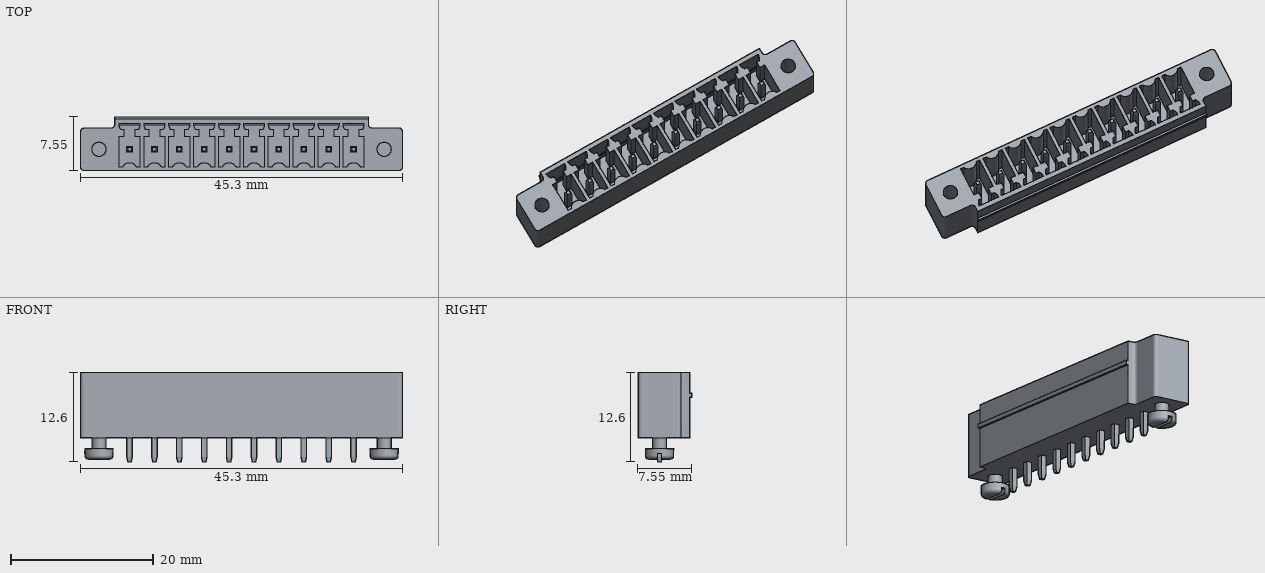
import cadquery as cq

body_length = 45.3
body_height = 9.2
flange_depth = 6.0
center_length = 35.7
center_depth = 7.25
corner_radius = 0.5

rib_projection = 0.3
rib_bottom = 5.7
rib_height = 0.6

contact_count = 10
pitch = 3.5
contact_y = 3.0
contact_xs = [(i - (contact_count - 1) / 2) * pitch for i in range(contact_count)]

cavity_half_width = 1.5
cavity_front = 0.5
cavity_floor = 1.5
shoulder_y = 4.8
neck_half_width = 0.75
latch_front = 5.75
latch_front_half_width = 1.2
latch_bulge_x = 1.4
latch_bulge_y = 6.08
latch_side_y = 6.5
cavity_back = 6.6
back_ledge_depth = 0.15
back_ledge_top = 3.0
key_radius = 1.1

pin_width = 0.8
pin_tip_width = 0.5
pin_taper = 0.7
pin_bottom = -3.4
pin_top = 7.8

screw_spacing = 40.1
screw_xs = [-screw_spacing / 2, screw_spacing / 2]
screw_y = contact_y
screw_diameter = 2.0
head_diameter = 4.0
head_height = 1.5
head_bottom = -3.0
head_fillet = 0.5
driver_slot_width = 0.6
driver_slot_depth = 0.8
hole_depth = 8.0


def make_housing():
    """Flanged housing with rounded outer and inner corners and a back rib."""
    flange = (
        cq.Workplane("XY")
        .rect(body_length, flange_depth)
        .extrude(body_height)
        .edges("|Z")
        .fillet(corner_radius)
        .translate((0, flange_depth / 2, 0))
    )
    center = (
        cq.Workplane("XY")
        .rect(center_length, center_depth)
        .extrude(body_height)
        .translate((0, center_depth / 2, 0))
    )
    inner_corners = cq.selectors.BoxSelector(
        (-center_length, flange_depth - corner_radius / 2, 0),
        (center_length, flange_depth + corner_radius / 2, body_height),
    )
    housing = flange.union(center).edges("|Z").edges(inner_corners).fillet(corner_radius)
    rib_depth = center_depth + rib_projection - flange_depth
    rib = cq.Workplane("XY").box(center_length, rib_depth, rib_height, centered=(True, False, False))
    return housing.union(rib.translate((0, flange_depth, rib_bottom)))


def make_cavity():
    """Cutter for one plug cavity, centred on X = 0 and open at the top."""
    height = body_height - cavity_floor
    cavity = (
        cq.Workplane("XY", origin=(0, 0, cavity_floor))
        .moveTo(-cavity_half_width, cavity_front)
        .lineTo(cavity_half_width, cavity_front)
        .lineTo(cavity_half_width, shoulder_y)
        .lineTo(neck_half_width, shoulder_y)
        .lineTo(neck_half_width, latch_front)
        .lineTo(latch_front_half_width, latch_front)
        .threePointArc((latch_bulge_x, latch_bulge_y), (cavity_half_width, latch_side_y))
        .lineTo(cavity_half_width, cavity_back)
        .lineTo(-cavity_half_width, cavity_back)
        .lineTo(-cavity_half_width, latch_side_y)
        .threePointArc((-latch_bulge_x, latch_bulge_y), (-latch_front_half_width, latch_front))
        .lineTo(-neck_half_width, latch_front)
        .lineTo(-neck_half_width, shoulder_y)
        .lineTo(-cavity_half_width, shoulder_y)
        .close()
        .extrude(height)
    )
    key = cq.Workplane("XY", origin=(0, 0, cavity_floor)).circle(key_radius).extrude(height)
    ledge = cq.Workplane("XY").box(
        2 * cavity_half_width,
        back_ledge_depth,
        back_ledge_top - cavity_floor,
        centered=(True, False, False),
    )
    ledge = ledge.translate((0, cavity_back - back_ledge_depth, cavity_floor))
    return cavity.cut(key).cut(ledge)


def make_pin_taper(start_z, length):
    """Square taper from the full pin width at start_z; a negative length points down."""
    return (
        cq.Workplane("XY", origin=(0, contact_y, start_z))
        .rect(pin_width, pin_width)
        .workplane(offset=length)
        .rect(pin_tip_width, pin_tip_width)
        .loft()
    )


def make_pin():
    """Contact pin on X = 0, tapered at both ends."""
    shank_bottom = pin_bottom + pin_taper
    shank_top = pin_top - pin_taper
    shank = (
        cq.Workplane("XY", origin=(0, contact_y, shank_bottom))
        .rect(pin_width, pin_width)
        .extrude(shank_top - shank_bottom)
    )
    lower_end = make_pin_taper(shank_bottom, -pin_taper)
    upper_end = make_pin_taper(shank_top, pin_taper)
    return shank.union(lower_end).union(upper_end)


def make_screw():
    """Round shank and slotted head hanging below the flange, on X = 0."""
    head = (
        cq.Workplane("XY", origin=(0, screw_y, head_bottom))
        .circle(head_diameter / 2)
        .extrude(head_height)
        .faces("<Z")
        .edges()
        .fillet(head_fillet)
    )
    shank = (
        cq.Workplane("XY", origin=(0, screw_y, head_bottom + head_height))
        .circle(screw_diameter / 2)
        .extrude(-head_bottom - head_height)
    )
    driver_slot = (
        cq.Workplane("XY", origin=(0, screw_y, head_bottom))
        .rect(head_diameter, driver_slot_width)
        .extrude(driver_slot_depth)
    )
    return head.cut(driver_slot).union(shank)


def make_screw_hole():
    """Cutter for the blind hole in the top of a flange, on X = 0."""
    return (
        cq.Workplane("XY", origin=(0, screw_y, body_height - hole_depth))
        .circle(screw_diameter / 2)
        .extrude(hole_depth)
    )


result = make_housing()
for x in contact_xs:
    result = result.cut(make_cavity().translate((x, 0, 0)))
    result = result.union(make_pin().translate((x, 0, 0)))
for x in screw_xs:
    result = result.cut(make_screw_hole().translate((x, 0, 0)))
    result = result.union(make_screw().translate((x, 0, 0)))